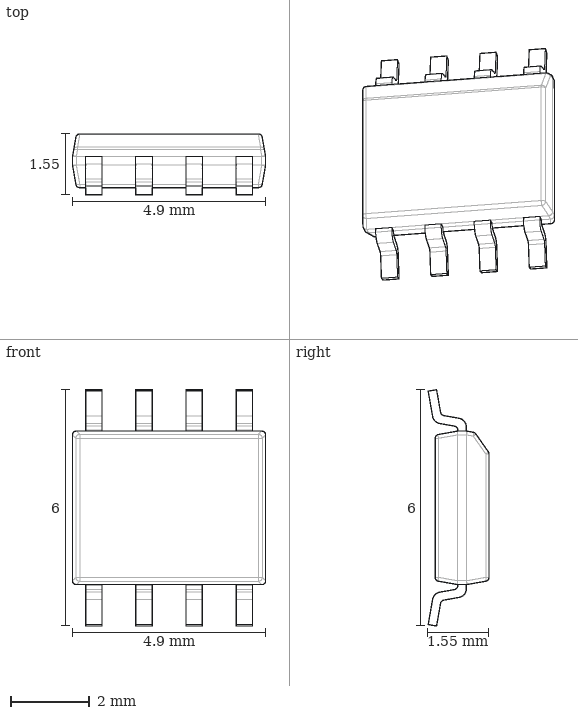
import cadquery as cq
import math

body_x = 4.9
body_z = 3.9
lead_thickness = 0.22
body_depth = 1.37
draft_angle = 10.0
body_fillet = 0.1

bevel_depth = 0.36
bevel_angle = 35.0

lead_count = 4
lead_pitch = 1.27
lead_width = 0.42
lead_span = 6.0
foot_drop = 0.18
lead_slope = 10.0
shank_rise = 0.2
root_depth = 0.18
outer_bend = 0.235
inner_bend = 0.1

band_y = lead_thickness / 2
face_y = body_depth / 2
half_depth = face_y - band_y
tolerance = 0.0005
slope = math.radians(lead_slope)


def make_half(side):
    """Drafted half of the body on the given side (+1 or -1) of the band."""
    plane = cq.Workplane("XZ").workplane(invert=side > 0).workplane(offset=band_y)
    return plane.rect(body_x, body_z).extrude(half_depth, taper=draft_angle)


def make_body():
    band = cq.Workplane("XY").box(body_x, lead_thickness, body_z)
    body = band.union(make_half(1)).union(make_half(-1))

    bevel_y = face_y - bevel_depth
    bevel_z = body_z / 2 - (bevel_y - band_y) * math.tan(math.radians(draft_angle))
    bevel_run = bevel_depth / math.tan(math.radians(bevel_angle))
    cutter = (
        cq.Workplane("YZ")
        .polyline([
            (bevel_y - bevel_depth, bevel_z + bevel_run),
            (bevel_y + 2 * bevel_depth, bevel_z - 2 * bevel_run),
            (bevel_y + 2 * bevel_depth, bevel_z + bevel_run),
        ])
        .close()
        .extrude(body_x, both=True)
    )
    body = body.cut(cutter)

    draft_rings = cq.selectors.BoxSelector(
        (-body_x, -band_y - tolerance, -body_z), (body_x, band_y + tolerance, body_z), boundingbox=True
    )
    band_corners = cq.selectors.ParallelDirSelector(cq.Vector(0, 1, 0))
    rounded = cq.selectors.SumSelector(cq.selectors.InverseSelector(draft_rings), band_corners)
    return body.edges(rounded).fillet(body_fillet)


def make_lead():
    """One lead on the +Z side, centred on X = 0."""
    half = lead_thickness / 2
    tip_y = -face_y - foot_drop + half * math.cos(slope)
    tip_z = lead_span / 2 - half * math.sin(slope)
    first_z = body_z / 2 + shank_rise

    tan_slope = math.tan(slope)
    second_y = (tip_y + tan_slope * (tip_z - first_z)) / (1 - tan_slope**2)
    second_z = first_z - second_y * tan_slope

    first_turn = math.pi / 2 - slope
    second_turn = math.pi / 2 - 2 * slope
    first_miter = half * math.tan(first_turn / 2)
    second_miter = half / math.cos(second_turn / 2) * math.sqrt(0.5)
    tip_shift_y = half * math.cos(slope)
    tip_shift_z = half * math.sin(slope)

    root_z = body_z / 2 - root_depth
    upper = [
        (half, root_z),
        (half, first_z + first_miter),
        (second_y + second_miter, second_z + second_miter),
        (tip_y + tip_shift_y, tip_z + tip_shift_z),
    ]
    lower = [
        (-half, root_z),
        (-half, first_z - first_miter),
        (second_y - second_miter, second_z - second_miter),
        (tip_y - tip_shift_y, tip_z - tip_shift_z),
    ]
    strip = (
        cq.Workplane("YZ")
        .polyline(upper + lower[::-1])
        .close()
        .extrude(lead_width / 2, both=True)
    )

    for (y, z), radius in [
        (upper[1], outer_bend),
        (lower[1], inner_bend),
        (upper[2], inner_bend),
        (lower[2], outer_bend),
    ]:
        strip = strip.edges(cq.selectors.NearestToPointSelector((0, y, z))).fillet(radius)
    return strip


result = make_body()
top_lead = make_lead()
bottom_lead = top_lead.mirror("XY")
for index in range(lead_count):
    lead_x = (index - (lead_count - 1) / 2) * lead_pitch
    result = result.union(top_lead.translate((lead_x, 0, 0)))
    result = result.union(bottom_lead.translate((lead_x, 0, 0)))